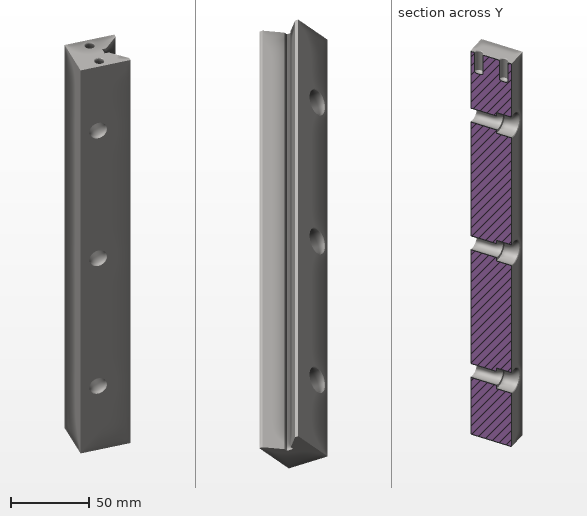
import cadquery as cq
import math

width = 30.0
depth = 34.0
length = 300.0

land_width = 2.5
relief_width = 4.8
relief_floor = 21.0

cross_hole_count = 3
cross_hole_y = 12.0
through_diameter = 12.0
counterbore_diameter = 16.8
counterbore_depth = 11.0
counterbore_chamfer = 0.45
counterbore_chamfer_angle = 45

end_hole_spacing = 18.0
end_hole_y = 15.0
end_hole_diameter = 6.0
end_hole_chamfer = 0.45
end_hole_depth = 15.0
drill_point_angle = 118
drill_point_flat_diameter = 3.3


def grooved_bar():
    """Extrude the bar profile, centred on X with the -Y face at Y = 0."""
    half_width = width / 2
    half_relief = relief_width / 2
    v_half_mouth = half_width - land_width
    v_depth = v_half_mouth - half_relief
    v_bottom = depth - v_depth
    return (
        cq.Workplane("XY")
        .moveTo(-half_width, 0)
        .lineTo(half_width, 0)
        .lineTo(half_width, depth)
        .lineTo(v_half_mouth, depth)
        .lineTo(half_relief, v_bottom)
        .lineTo(half_relief, relief_floor)
        .lineTo(-half_relief, relief_floor)
        .lineTo(-half_relief, v_bottom)
        .lineTo(-v_half_mouth, depth)
        .lineTo(-half_width, depth)
        .close()
        .extrude(length)
    )


def drill_cross_holes(body):
    """Cut evenly pitched counterbored holes along X."""
    pitch = length / cross_hole_count
    centres = [(cross_hole_y, (i + 0.5) * pitch) for i in range(cross_hole_count)]
    entry_face = cq.Workplane("YZ", origin=(-width / 2, 0, 0)).pushPoints(centres)
    through_holes = entry_face.circle(through_diameter / 2).extrude(width)
    counterbores = entry_face.circle(counterbore_diameter / 2).extrude(counterbore_depth)
    mouth_radius = counterbore_diameter / 2 + counterbore_chamfer
    mouths = entry_face.circle(mouth_radius).extrude(counterbore_chamfer, taper=counterbore_chamfer_angle)
    return body.cut(through_holes).cut(counterbores).cut(mouths)


def end_hole_cutter():
    """Revolve one end hole about Z, with its mouth at the top face."""
    radius = end_hole_diameter / 2
    mouth_radius = radius + end_hole_chamfer
    flat_radius = drill_point_flat_diameter / 2
    point_height = (radius - flat_radius) / math.tan(math.radians(drill_point_angle / 2))
    shoulder_z = length - end_hole_depth
    tip_z = shoulder_z - point_height
    return (
        cq.Workplane("XZ")
        .moveTo(0, length)
        .lineTo(mouth_radius, length)
        .lineTo(radius, length - end_hole_chamfer)
        .lineTo(radius, shoulder_z)
        .lineTo(flat_radius, tip_z)
        .lineTo(0, tip_z)
        .close()
        .revolve(360, (0, 0, 0), (0, 1, 0))
    )


def drill_end_holes(body):
    """Cut the pair of blind holes down from the top end."""
    for side in (-1, 1):
        body = body.cut(end_hole_cutter().translate((side * end_hole_spacing / 2, end_hole_y, 0)))
    return body


result = drill_end_holes(drill_cross_holes(grooved_bar()))